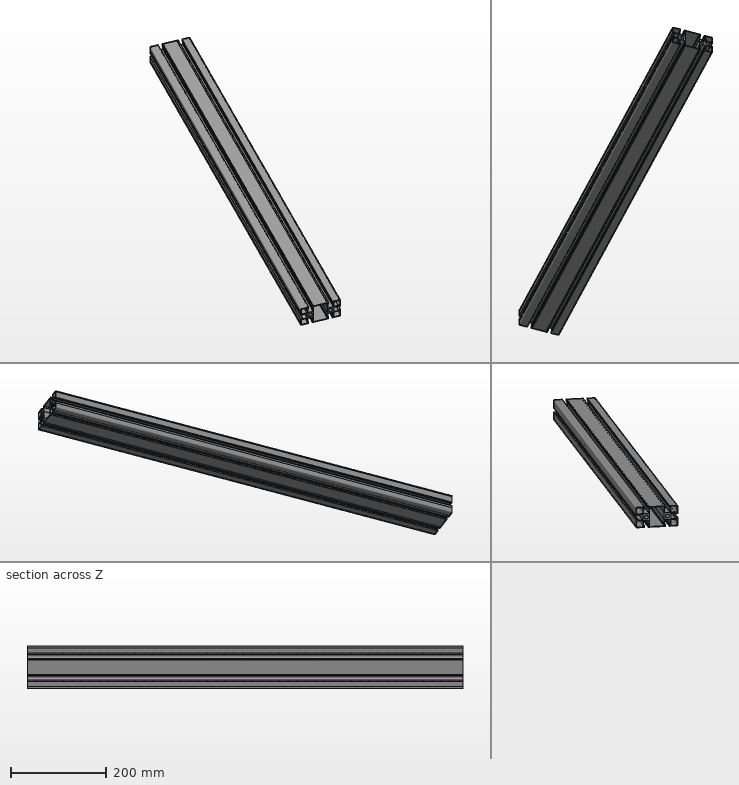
import cadquery as cq

length = 914.0
width = 90.0
height = 45.0
corner_radius = 3.0

slot_opening = 8.6
slot_cavity = 12.0
slot_lip = 5.0
slot_depth = 15.0

outer_wall = 1.65
corner_rib = 2.0
center_web = 1.1
corner_cell_radius = 2.0
bore_diameter = 7.8

module_center = (width - height) / 2
half_cavity = slot_cavity / 2
corner_cell_size = height / 2 - half_cavity - outer_wall - corner_rib
corner_cell_offset = height / 2 - outer_wall - corner_cell_size / 2
center_cell_width = 2 * (module_center - half_cavity - center_web)
center_cell_height = height - 2 * outer_wall


def bar(size_y, size_z, center_y=0, center_z=0):
    """Rectangular bar running the full length at a place in the cross-section."""
    return cq.Workplane("XY").box(length, size_y, size_z).translate((0, center_y, center_z))


def t_slot(mouth_height):
    """T-slot cutter that opens towards +Z at the given height."""
    mouth = bar(slot_opening, slot_depth, 0, mouth_height - slot_depth / 2)
    cavity_depth = slot_depth - slot_lip
    cavity = bar(slot_cavity, cavity_depth, 0, mouth_height - slot_lip - cavity_depth / 2)
    return mouth.union(cavity)


def corner_cell(center_y, center_z):
    """Square hollow with rounded corners."""
    cell = bar(corner_cell_size, corner_cell_size, center_y, center_z)
    return cell.edges("|X").fillet(corner_cell_radius)


result = bar(width, height).edges("|X").fillet(corner_radius)
result = result.cut(bar(center_cell_width, center_cell_height))

for side in (-1, 1):
    module_y = side * module_center

    top_slot = t_slot(height / 2).translate((0, module_y, 0))
    bottom_slot = top_slot.mirror("XY")
    end_slot = t_slot(width / 2).rotate((0, 0, 0), (1, 0, 0), -90 * side)
    result = result.cut(top_slot).cut(bottom_slot).cut(end_slot)

    bore = cq.Workplane("YZ").circle(bore_diameter / 2).extrude(length / 2, both=True)
    result = result.cut(bore.translate((0, module_y, 0)))

    cell_y = side * (module_center + corner_cell_offset)
    for level in (-1, 1):
        result = result.cut(corner_cell(cell_y, level * corner_cell_offset))